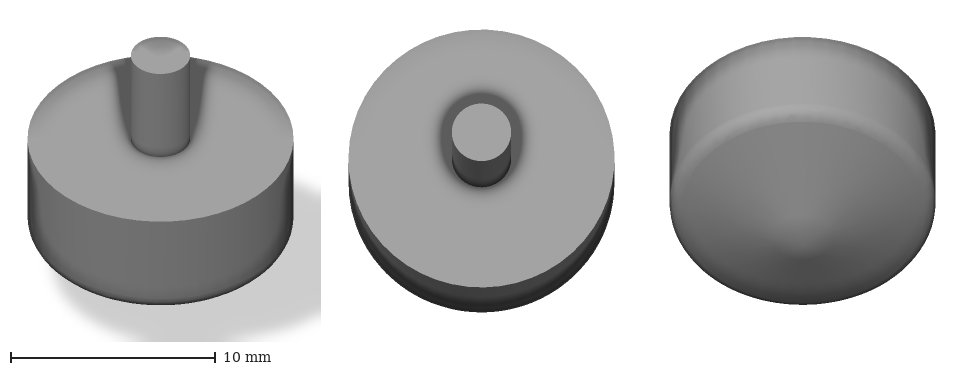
import cadquery as cq

total_height = 13.2
body_diameter = 13.0
stem_diameter = 2.9
stem_height = 5.2

cone_height = 2.6
edge_radius = 0.8

body_radius = body_diameter / 2
stem_radius = stem_diameter / 2
body_top = total_height - stem_height


def pointed_body():
    """Round body with its cone tip at the origin and a rounded lower edge."""
    half_profile = (
        cq.Workplane("XZ")
        .lineTo(body_radius, cone_height)
        .lineTo(body_radius, body_top)
        .lineTo(0, body_top)
        .close()
    )
    body = half_profile.revolve(360, (0, 0, 0), (0, 1, 0))
    return body.edges("%CIRCLE").edges("<Z").fillet(edge_radius)


def stem():
    """Plain pin standing on the flat top of the body."""
    return cq.Workplane("XY").workplane(offset=body_top).circle(stem_radius).extrude(stem_height)


result = pointed_body().union(stem())